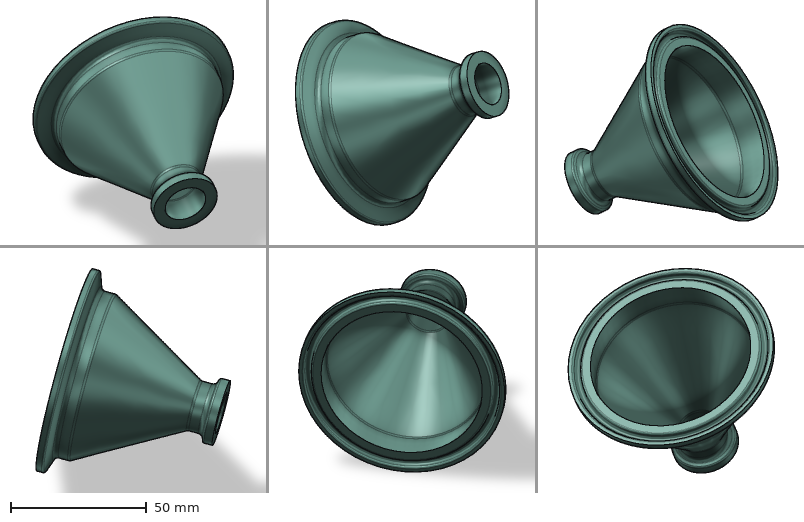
import cadquery as cq
import math

length = 60.0
cone_start = 10.7
cone_end = 49.75

wall = 1.6
large_tube_radius = 31.9
small_tube_radius = 9.5
large_bore_radius = large_tube_radius - wall
small_bore_radius = small_tube_radius - wall

large_flange_radius = 38.75
small_flange_radius = 12.4
large_rim_width = 2.7
small_rim_width = 3.65
back_angle = math.radians(20)

rim_round = 0.8
flange_root_round = 2.0
cone_round = 1.85

groove_middle_radius = 35.4
groove_width = 2.5
groove_depth = 2.1
groove_edge_round = 0.8

large_root_x = large_rim_width + (large_flange_radius - large_tube_radius) * math.tan(back_angle)
small_rim_x = length - small_rim_width
small_root_x = small_rim_x - (small_flange_radius - small_tube_radius) * math.tan(back_angle)

cone_angle = math.atan2(large_tube_radius - small_tube_radius, cone_end - cone_start)
corner_shift = wall * math.tan(cone_angle / 2)
bore_cone_start = cone_start - corner_shift
bore_cone_end = cone_end - corner_shift


def revolve_about_x(profile):
    return profile.close().revolve(360, (0, 0, 0), (1, 0, 0))


def round_circle(body, x, radius, size):
    """Round the circular edge at the given x and radius."""
    rings = body.edges("%CIRCLE").filter(
        lambda e: abs(e.Center().x - x) < 0.01 and abs(e.radius() - radius) < 0.01
    )
    return rings.fillet(size)


def make_shell():
    """Flanged reducer of constant wall thickness, with sharp corners."""
    return revolve_about_x(
        cq.Workplane("XY")
        .moveTo(0, large_bore_radius)
        .lineTo(0, large_flange_radius)
        .lineTo(large_rim_width, large_flange_radius)
        .lineTo(large_root_x, large_tube_radius)
        .lineTo(cone_start, large_tube_radius)
        .lineTo(cone_end, small_tube_radius)
        .lineTo(small_root_x, small_tube_radius)
        .lineTo(small_rim_x, small_flange_radius)
        .lineTo(length, small_flange_radius)
        .lineTo(length, small_bore_radius)
        .lineTo(bore_cone_end, small_bore_radius)
        .lineTo(bore_cone_start, large_bore_radius)
    )


def make_groove():
    """Ring with straight walls and a half-round bottom."""
    bottom_round = groove_width / 2
    outer_radius = groove_middle_radius + bottom_round
    inner_radius = groove_middle_radius - bottom_round
    return revolve_about_x(
        cq.Workplane("XY")
        .moveTo(0, inner_radius)
        .lineTo(groove_depth - bottom_round, inner_radius)
        .threePointArc((groove_depth, groove_middle_radius), (groove_depth - bottom_round, outer_radius))
        .lineTo(0, outer_radius)
    )


body = make_shell()
for x, radius, size in (
    (large_rim_width, large_flange_radius, rim_round),
    (large_root_x, large_tube_radius, flange_root_round),
    (cone_start, large_tube_radius, cone_round),
    (cone_end, small_tube_radius, cone_round),
    (small_root_x, small_tube_radius, flange_root_round),
    (small_rim_x, small_flange_radius, rim_round),
    (bore_cone_start, large_bore_radius, cone_round),
    (bore_cone_end, small_bore_radius, cone_round),
):
    body = round_circle(body, x, radius, size)

body = body.cut(make_groove())
for side in (-1, 1):
    edge_radius = groove_middle_radius + side * groove_width / 2
    body = round_circle(body, 0, edge_radius, groove_edge_round)

result = body